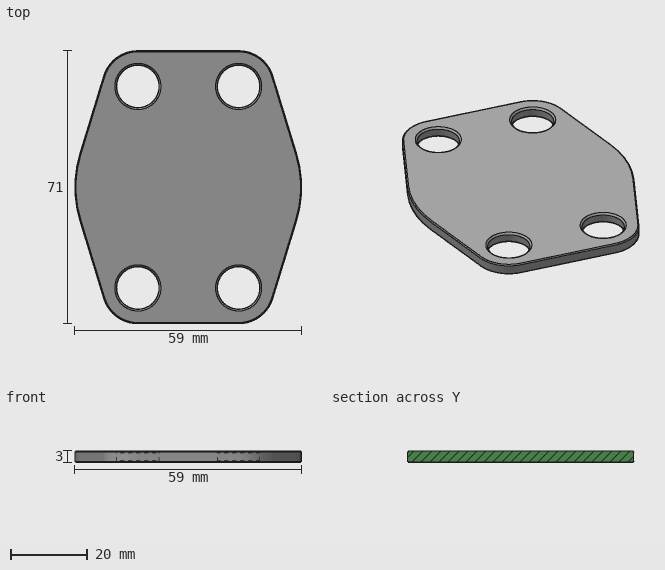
import cadquery as cq
import math

length = 71.0
width = 59.0
thickness = 3.0
edge_chamfer = 0.3

hole_spacing_x = 26.2
hole_spacing_y = 52.4
hole_diameter = 11.0
hole_chamfer = 0.5

hole_x = hole_spacing_x / 2
hole_y = hole_spacing_y / 2
side_radius = width / 2
corner_radius = length / 2 - hole_y
center_distance = math.hypot(hole_x, hole_y)
tangent_angle = math.atan2(hole_y, hole_x) - math.acos((side_radius - corner_radius) / center_distance)
corner_mid_angle = (tangent_angle + math.pi / 2) / 2


def side_point(angle):
    """Point on the circle about the plate centre."""
    return (side_radius * math.cos(angle), side_radius * math.sin(angle))


def corner_point(angle):
    """Point on the corner arc around the hole in the +X +Y quadrant."""
    return (hole_x + corner_radius * math.cos(angle), hole_y + corner_radius * math.sin(angle))


def mirror_x(point):
    return (-point[0], point[1])


def mirror_y(point):
    return (point[0], -point[1])


def rotate_half_turn(point):
    return (-point[0], -point[1])


def make_plate():
    """Rounded plate, chamfered around both faces."""
    side_end = side_point(tangent_angle)
    side_mid = side_point(0)
    corner_start = corner_point(tangent_angle)
    corner_mid = corner_point(corner_mid_angle)
    corner_end = corner_point(math.pi / 2)
    outline = (
        cq.Workplane("XY")
        .moveTo(*mirror_y(side_end))
        .threePointArc(side_mid, side_end)
        .lineTo(*corner_start)
        .threePointArc(corner_mid, corner_end)
        .lineTo(*mirror_x(corner_end))
        .threePointArc(mirror_x(corner_mid), mirror_x(corner_start))
        .lineTo(*mirror_x(side_end))
        .threePointArc(mirror_x(side_mid), rotate_half_turn(side_end))
        .lineTo(*rotate_half_turn(corner_start))
        .threePointArc(rotate_half_turn(corner_mid), rotate_half_turn(corner_end))
        .lineTo(*mirror_y(corner_end))
        .threePointArc(mirror_y(corner_mid), mirror_y(corner_start))
        .close()
    )
    return outline.extrude(thickness).faces("|Z").edges().chamfer(edge_chamfer)


def cut_bolt_holes(plate):
    """Four through holes, chamfered at both rims."""
    drilled = (
        plate.faces(">Z")
        .workplane(origin=(0, 0, thickness))
        .rect(hole_spacing_x, hole_spacing_y, forConstruction=True)
        .vertices()
        .hole(hole_diameter)
    )
    hole_rims = drilled.faces("|Z").edges(cq.selectors.RadiusNthSelector(0))
    return hole_rims.chamfer(hole_chamfer)


result = cut_bolt_holes(make_plate())